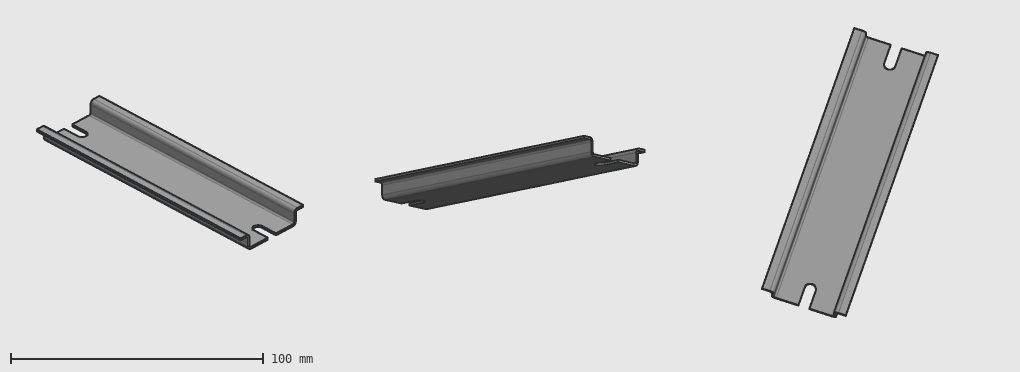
import cadquery as cq

length = 114.0
width = 35.0
height = 7.5

thickness = 1.0
channel_width = 27.0
inner_radius = 0.8
outer_radius = inner_radius + thickness

slot_width = 4.6
slot_depth = 10.0


def rail_block(block_width, bottom, top):
    """Full-length block centred on Y, spanning bottom to top in Z."""
    return (
        cq.Workplane("XY")
        .workplane(offset=bottom)
        .rect(length, block_width)
        .extrude(top - bottom)
    )


def hat_rail():
    """Bent sheet: flat base, two upright walls and two outward flanges."""
    flange_bottom = height - thickness
    flanges = rail_block(width, flange_bottom, height)
    trough = rail_block(channel_width, 0, flange_bottom)
    outside = trough.union(flanges)
    outside = outside.edges(cq.selectors.BoxSelector(
        (-length, -channel_width / 2 - thickness / 2, flange_bottom - thickness / 2),
        (length, channel_width / 2 + thickness / 2, flange_bottom + thickness / 2),
    )).edges("|X").fillet(inner_radius)
    outside = outside.edges("|X and <Z").fillet(outer_radius)

    hollow_width = channel_width - 2 * thickness
    hollow = rail_block(hollow_width, thickness, height)
    hollow = hollow.edges("|X and <Z").fillet(inner_radius)
    rail = outside.cut(hollow)
    top_bends = cq.selectors.BoxSelector(
        (-length, -hollow_width / 2 - thickness / 2, height - thickness / 2),
        (length, hollow_width / 2 + thickness / 2, height + thickness / 2),
    )
    return rail.edges(top_bends).edges("|X").fillet(outer_radius)


def end_slot(side):
    """Round-tipped slot entering from the rail end on the given side."""
    return (
        cq.Workplane("XY")
        .center(side * length / 2, 0)
        .slot2D(2 * slot_depth, slot_width)
        .extrude(thickness)
    )


result = hat_rail()
for side in (-1, 1):
    result = result.cut(end_slot(side))